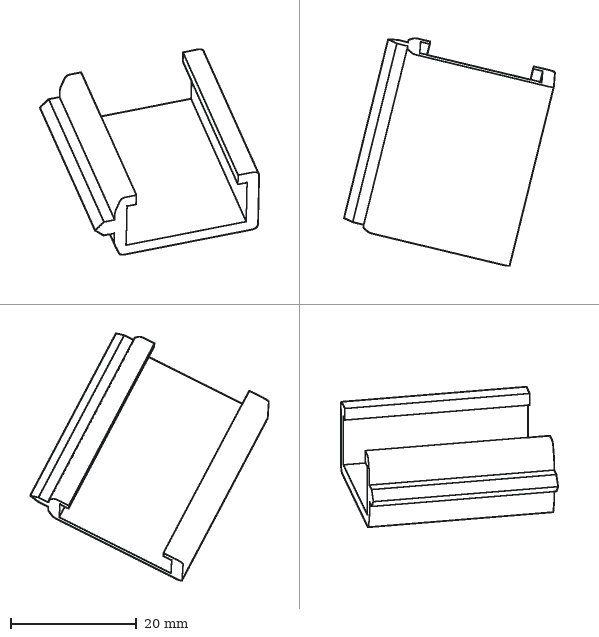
import cadquery as cq

length = 30.0
tilt = 1.0
wall = 2.0
height = 12.48
depth = 24.03
rear_lip_end = 3.55
front_lip_end = 20.5
corner_radius = 1.0

taper_height = 2.73
taper_inset = 1.02
knee_radius = 3.0

ridge_width = 2.95
ridge_center = 6.55
ridge_shoulder = 25.83
ridge_tip = 27.3

lip_underside = height - wall
front_inner = depth - wall


def round_edge(body, across, up, radius):
    """Fillet the lengthwise edge at one point of the section."""
    midpoint = (length / 2, -across, up)
    return body.edges(cq.selectors.NearestToPointSelector(midpoint)).fillet(radius)


def channel():
    """Lipped channel with a tapered front wall, extruded along X."""
    outline = [
        (0, 0),
        (depth - taper_inset, 0),
        (depth, taper_height),
        (depth, height - taper_height),
        (depth - taper_inset, height),
        (front_lip_end, height),
        (front_lip_end, lip_underside),
        (front_inner, lip_underside),
        (front_inner, wall),
        (wall, wall),
        (wall, lip_underside),
        (rear_lip_end, lip_underside),
        (rear_lip_end, height),
        (0, height),
    ]
    points = [(-across, up) for across, up in outline]
    body = cq.Workplane("YZ").polyline(points).close().extrude(length)
    for across, up in [(0, 0), (0, height), (depth - taper_inset, 0), (depth - taper_inset, height)]:
        body = round_edge(body, across, up, corner_radius)
    for up in (taper_height, height - taper_height):
        body = round_edge(body, depth, up, knee_radius)
    return body


def ridge():
    """Pointed ridge, rooted at the middle of the front wall's thickness."""
    root = depth - wall / 2
    low = ridge_center - ridge_width / 2
    high = ridge_center + ridge_width / 2
    outline = [
        (root, low),
        (ridge_shoulder, low),
        (ridge_tip, ridge_center),
        (ridge_shoulder, high),
        (root, high),
    ]
    points = [(-across, up) for across, up in outline]
    return cq.Workplane("YZ").polyline(points).close().extrude(length)


result = channel().union(ridge()).rotate((0, 0, 0), (1, 0, 0), -tilt)